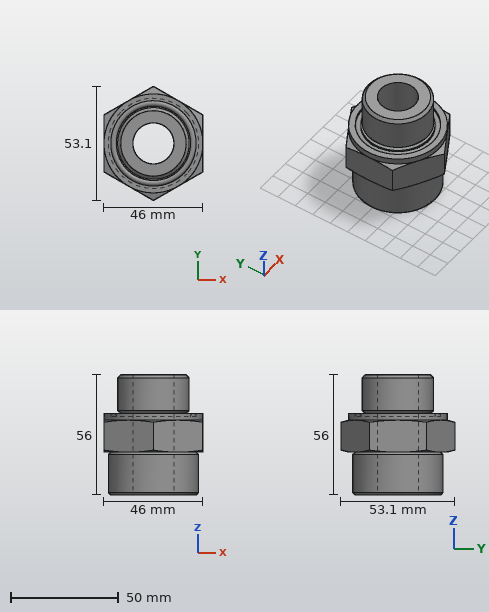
import cadquery as cq
import math

total_height = 56
lower_height = 20.0
hex_height = 14.85
flange_height = 3.15
upper_base = lower_height + hex_height + flange_height
upper_height = total_height - upper_base

bore_diameter = 19.0
lower_diameter = 42
lower_end_diameter = 39.7
hex_across_flats = 46.0
flange_diameter = hex_across_flats
upper_diameter = 33.25
upper_end_diameter = 30.35
undercut_diameter = 30.6

groove_outer_diameter = 39.7
groove_inner_diameter = 34.5

hex_chamfer_angle = 15
corner_clearance = 0.55

hex_across_corners = hex_across_flats / math.cos(math.radians(30))


def chamfered_cylinder(base, height, diameter, bottom_diameter, top_diameter):
    """Upright cylinder with 45 degree chamfers running to the end diameters."""
    radius = diameter / 2
    bottom_chamfer = radius - bottom_diameter / 2
    top_chamfer = radius - top_diameter / 2
    profile = (
        cq.Workplane("XZ")
        .moveTo(0, base)
        .lineTo(bottom_diameter / 2, base)
        .lineTo(radius, base + bottom_chamfer)
        .lineTo(radius, base + height - top_chamfer)
        .lineTo(top_diameter / 2, base + height)
        .lineTo(0, base + height)
        .close()
    )
    return profile.revolve(360, (0, 0), (0, 1))


def hexagon():
    """Hexagon with corners on the Y axis and conical chamfers at both ends."""
    prism = (
        cq.Workplane("XY")
        .workplane(offset=lower_height)
        .polygon(6, hex_across_corners)
        .extrude(hex_height)
        .rotate((0, 0, 0), (0, 0, 1), 30)
    )
    face_radius = hex_across_flats / 2
    cone_radius = hex_across_corners / 2 + corner_clearance
    cone_drop = (cone_radius - face_radius) * math.tan(math.radians(hex_chamfer_angle))
    hex_top = lower_height + hex_height
    envelope = (
        cq.Workplane("XZ")
        .moveTo(0, lower_height)
        .lineTo(face_radius, lower_height)
        .lineTo(cone_radius, lower_height + cone_drop)
        .lineTo(cone_radius, hex_top - cone_drop)
        .lineTo(face_radius, hex_top)
        .lineTo(0, hex_top)
        .close()
        .revolve(360, (0, 0), (0, 1))
    )
    return prism.intersect(envelope)


def flange():
    """Round flange whose top groove is filled by a rounded seal ring."""
    groove_outer_radius = groove_outer_diameter / 2
    groove_inner_radius = groove_inner_diameter / 2
    ring_radius = (groove_outer_radius - groove_inner_radius) / 2
    ring_center_radius = groove_inner_radius + ring_radius
    base = upper_base - flange_height
    ring_center_height = upper_base - ring_radius
    profile = (
        cq.Workplane("XZ")
        .moveTo(0, base)
        .lineTo(flange_diameter / 2, base)
        .lineTo(flange_diameter / 2, upper_base)
        .lineTo(groove_outer_radius, upper_base)
        .lineTo(groove_outer_radius, ring_center_height)
        .threePointArc((ring_center_radius, upper_base), (groove_inner_radius, ring_center_height))
        .lineTo(groove_inner_radius, upper_base)
        .lineTo(0, upper_base)
        .close()
    )
    return profile.revolve(360, (0, 0), (0, 1))


lower_end = chamfered_cylinder(0, lower_height, lower_diameter, lower_end_diameter, lower_end_diameter)
upper_end = chamfered_cylinder(
    upper_base, upper_height, upper_diameter, undercut_diameter, upper_end_diameter
)
bore = cq.Workplane("XY").circle(bore_diameter / 2).extrude(total_height)

result = lower_end.union(hexagon()).union(flange()).union(upper_end).cut(bore)